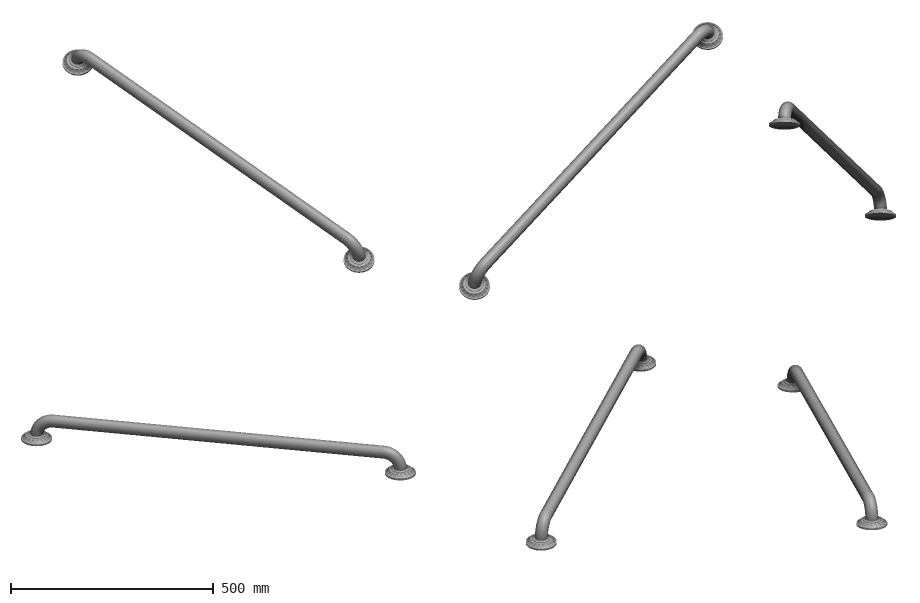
import cadquery as cq
overall_length = 991.0
overall_height = 70.0

pipe_diameter = 32.0
bend_radius = 42.0

cover_diameter = 76.0
rim_height = 5.0
cone_bottom_radius = 36.0
cone_top_radius = 28.0

flute_count = 18
flute_depth = 1.5

collar_radius = 22.4
collar_height = 2.5
collar_chamfer_width = 1.6
collar_chamfer_height = 0.9

pipe_radius = pipe_diameter / 2
cover_radius = cover_diameter / 2
foot_x = overall_length / 2 - cover_radius
pipe_axis_z = overall_height - pipe_radius
cover_height = pipe_axis_z - bend_radius
tube_half_length = foot_x - bend_radius
flute_pitch = 360 / flute_count
flute_width = flute_pitch / 2


def make_tube():
    """Straight tube along X between the two elbows."""
    return (
        cq.Workplane("YZ", origin=(-tube_half_length, 0, pipe_axis_z))
        .circle(pipe_radius)
        .extrude(2 * tube_half_length)
    )


def make_elbow():
    """Quarter bend that rises from the top of a cover at the origin and turns toward +X."""
    return (
        cq.Workplane("XY", origin=(0, 0, cover_height))
        .circle(pipe_radius)
        .revolve(90, (bend_radius, 0), (bend_radius, 1))
    )


def make_flute_cutter():
    """Sector swept around Z by a thin lens between the cone's slope and an arc below it."""
    slope_run = cone_bottom_radius - cone_top_radius
    slope_rise = cover_height - rim_height
    slope_length = (slope_run**2 + slope_rise**2) ** 0.5
    deepest_radius = (cone_bottom_radius + cone_top_radius) / 2 - flute_depth * slope_rise / slope_length
    deepest_z = (rim_height + cover_height) / 2 - flute_depth * slope_run / slope_length
    return (
        cq.Workplane("XZ")
        .moveTo(cone_bottom_radius, rim_height)
        .lineTo(cone_top_radius, cover_height)
        .threePointArc((deepest_radius, deepest_z), (cone_bottom_radius, rim_height))
        .close()
        .revolve(flute_width, (0, 0), (0, 1))
    )


def make_cover():
    """Round cover with a plain rim and a fluted cone."""
    cover = (
        cq.Workplane("XZ")
        .polyline(
            [
                (0, 0),
                (cover_radius, 0),
                (cover_radius, rim_height),
                (cone_bottom_radius, rim_height),
                (cone_top_radius, cover_height),
                (0, cover_height),
            ]
        )
        .close()
        .revolve(360, (0, 0), (0, 1))
    )
    cutter = make_flute_cutter()
    for index in range(flute_count):
        cover = cover.cut(cutter.rotate((0, 0, 0), (0, 0, 1), index * flute_pitch))
    return cover


def make_collar(elbow):
    """Chamfered ring on top of the cover, bored to fit the foot of the elbow."""
    disc = (
        cq.Workplane("XY", origin=(0, 0, cover_height))
        .circle(collar_radius)
        .extrude(collar_height)
        .faces(">Z")
        .edges()
        .chamfer(collar_chamfer_height, collar_chamfer_width)
    )
    return disc.cut(elbow)


def place_at_both_ends(body):
    """Copies of a body made at the origin: one at the -X foot, one turned around at the +X foot."""
    copies = []
    for foot, turn in ((-foot_x, 0), (foot_x, 180)):
        turned = body.rotate((0, 0, 0), (0, 0, 1), turn)
        copies.append(turned.translate((foot, 0, 0)).val())
    return copies


tube = make_tube()
elbow = make_elbow()
elbows = place_at_both_ends(elbow)
covers = place_at_both_ends(make_cover())
collars = place_at_both_ends(make_collar(elbow))

result = cq.Compound.makeCompound(
    [solid for body in (*tube.vals(), *elbows, *covers, *collars) for solid in body.Solids()]
)